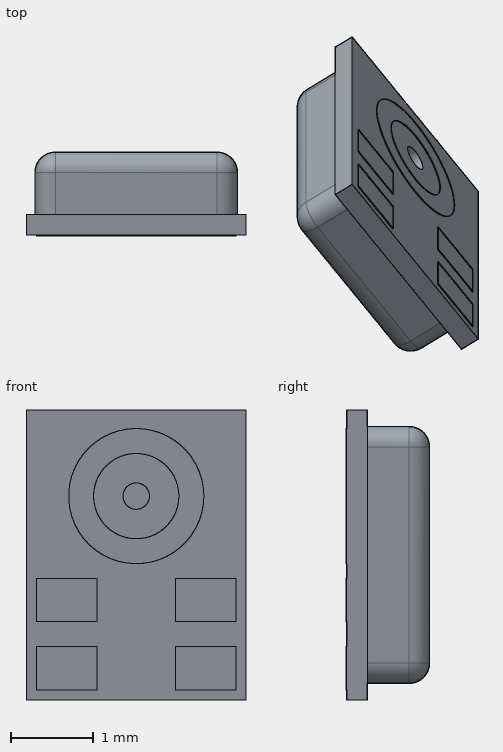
import cadquery as cq

board_width = 2.65
board_height = 3.5
board_thickness = 0.25

can_margin_x = 0.1
can_margin_z = 0.2
can_depth = 0.752
can_radius = 0.25

contact_thickness = 0.01
pad_width = 0.73
pad_height = 0.52
pad_edge_gap = 0.122
pad_pitch_z = 0.822

port_diameter = 0.32
ring_outer_diameter = 1.63
ring_inner_diameter = 1.03
port_z = 0.71

pad_x = board_width / 2 - pad_edge_gap - pad_width / 2
lower_pad_z = -board_height / 2 + pad_edge_gap + pad_height / 2
pad_centres = [
    (side * pad_x, lower_pad_z + row * pad_pitch_z) for side in (-1, 1) for row in (0, 1)
]


def front_plane(y):
    """XZ workplane at the given Y; positive extrusion goes towards -Y."""
    return cq.Workplane("XZ", origin=(0, y, 0))


def make_board():
    """Plate with the sound port drilled through it."""
    plate = front_plane(board_thickness).rect(board_width, board_height).extrude(board_thickness)
    port = front_plane(board_thickness).center(0, port_z).circle(port_diameter / 2).extrude(board_thickness)
    return plate.cut(port)


def make_can():
    """Block with rounded corners and a rounded back rim."""
    width = board_width - 2 * can_margin_x
    height = board_height - 2 * can_margin_z
    block = front_plane(board_thickness).rect(width, height).extrude(-can_depth)
    return block.edges("|Y or >Y").fillet(can_radius)


def make_pad(x, z):
    """Rectangular solder pad centred at (x, z)."""
    return front_plane(0).center(x, z).rect(pad_width, pad_height).extrude(contact_thickness)


def make_ring():
    """Annular solder contact around the sound port."""
    return (
        front_plane(0)
        .center(0, port_z)
        .circle(ring_outer_diameter / 2)
        .circle(ring_inner_diameter / 2)
        .extrude(contact_thickness)
    )


board = make_board()
can = make_can()
ring = make_ring()
pads = [make_pad(x, z).val() for x, z in pad_centres]

result = cq.Compound.makeCompound([board.val(), can.val(), ring.val(), *pads])